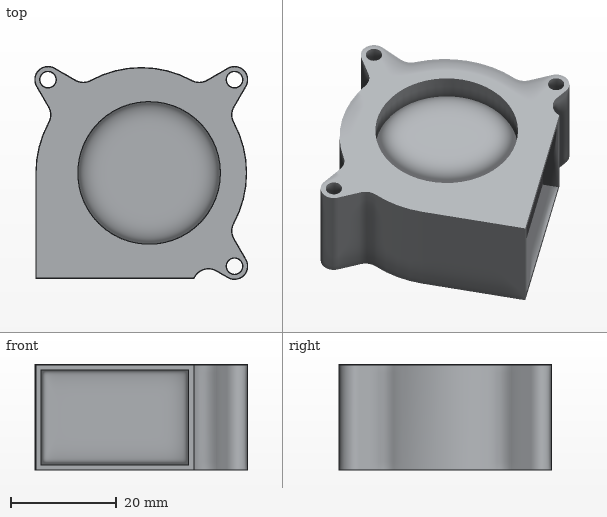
import cadquery as cq
import math

overall_width = 40.35
height = 20.0
casing_radius = 19.97

lug_radius = 2.5
lug_hole_diameter = 3.05
lug_offset = overall_width / 2 - lug_radius
lug_flank_angle = math.radians(30)
lug_fillet_radius = 3.0

outlet_end_x = 10.0
outlet_wall = 1.0
outlet_depth = 3.0
outlet_relief_radius = lug_fillet_radius

inlet_radius = 13.5
inlet_center_x = 1.5
inlet_depth = 5.0

flank_along = (math.cos(lug_flank_angle), math.sin(lug_flank_angle))
flank_normal = (-math.sin(lug_flank_angle), math.cos(lug_flank_angle))
lug_center = (lug_offset, lug_offset)


def dot(a, b):
    return a[0] * b[0] + a[1] * b[1]


def toward(start, direction, distance):
    """Point at a distance from start along a unit direction."""
    return (start[0] + direction[0] * distance, start[1] + direction[1] * distance)


def arc_middle(center, radius, start, end):
    """Middle of the shorter arc between two points of a circle."""
    bisector = (start[0] + end[0] - 2 * center[0], start[1] + end[1] - 2 * center[1])
    return toward(center, bisector, radius / math.hypot(*bisector))


def swap(point):
    """Mirror a point across the diagonal X = Y."""
    return (point[1], point[0])


def flip_x(point):
    return (-point[0], point[1])


def flip_y(point):
    return (point[0], -point[1])


def keep(point):
    return point


lug_tangent = toward(lug_center, flank_normal, lug_radius)
fillet_offset = dot(lug_center, flank_normal) + lug_radius + lug_fillet_radius
fillet_distance = casing_radius + lug_fillet_radius
fillet_along = math.sqrt(fillet_distance**2 - fillet_offset**2)
fillet_center = toward(toward((0, 0), flank_normal, fillet_offset), flank_along, fillet_along)
fillet_flank_end = toward(fillet_center, flank_normal, -lug_fillet_radius)
fillet_casing_end = toward((0, 0), fillet_center, casing_radius / fillet_distance)
fillet_middle = arc_middle(fillet_center, lug_fillet_radius, fillet_flank_end, fillet_casing_end)
lug_tip = toward(lug_center, (math.sqrt(0.5), math.sqrt(0.5)), lug_radius)

outlet_corner = (outlet_end_x, casing_radius)
relief_offset = dot(lug_center, flank_normal) + lug_radius + outlet_relief_radius
relief_rise = relief_offset - dot(outlet_corner, flank_normal)
relief_along = dot(outlet_corner, flank_along) + math.sqrt(outlet_relief_radius**2 - relief_rise**2)
relief_center = toward(toward((0, 0), flank_normal, relief_offset), flank_along, relief_along)
relief_flank_end = toward(relief_center, flank_normal, -outlet_relief_radius)
relief_middle = arc_middle(relief_center, outlet_relief_radius, outlet_corner, relief_flank_end)


def flank_outward(outline, place):
    """Run from the casing, round the fillet and up the flank to the lug end."""
    outline = outline.threePointArc(place(fillet_middle), place(fillet_flank_end))
    return outline.lineTo(*place(lug_tangent))


def flank_inward(outline, place):
    """Run from the lug end, down the flank and round the fillet to the casing."""
    outline = outline.lineTo(*place(fillet_flank_end))
    return outline.threePointArc(place(fillet_middle), place(fillet_casing_end))


def lug_end(outline, place, end):
    return outline.threePointArc(place(lug_tip), end)


def make_body():
    outline = cq.Workplane("XY").moveTo(*flip_y(outlet_corner))
    outline = outline.threePointArc(flip_y(relief_middle), flip_y(relief_flank_end))
    outline = outline.lineTo(*flip_y(lug_tangent))
    outline = lug_end(outline, flip_y, flip_y(swap(lug_tangent)))
    outline = flank_inward(outline, lambda p: flip_y(swap(p)))
    outline = outline.threePointArc((casing_radius, 0), swap(fillet_casing_end))
    outline = flank_outward(outline, swap)
    outline = lug_end(outline, keep, lug_tangent)
    outline = flank_inward(outline, keep)
    outline = outline.threePointArc((0, casing_radius), flip_x(fillet_casing_end))
    outline = flank_outward(outline, flip_x)
    outline = lug_end(outline, flip_x, flip_x(swap(lug_tangent)))
    outline = flank_inward(outline, lambda p: flip_x(swap(p)))
    left_start = flip_x(swap(fillet_casing_end))
    left_end = (-casing_radius, 0)
    outline = outline.threePointArc(arc_middle((0, 0), casing_radius, left_start, left_end), left_end)
    outline = outline.lineTo(-casing_radius, -casing_radius)
    return outline.close().extrude(height)


def make_lug_holes():
    centers = [lug_center, flip_x(lug_center), flip_y(lug_center)]
    return cq.Workplane("XY").pushPoints(centers).circle(lug_hole_diameter / 2).extrude(height)


def make_inlet():
    floor = cq.Workplane("XY").workplane(offset=height - inlet_depth)
    return floor.center(inlet_center_x, 0).circle(inlet_radius).extrude(inlet_depth)


def make_outlet():
    width = outlet_end_x + casing_radius - 2 * outlet_wall
    opening_height = height - 2 * outlet_wall
    corner = (outlet_wall - casing_radius, -casing_radius, outlet_wall)
    pocket = cq.Workplane("XY").box(width, outlet_depth, opening_height, centered=False)
    return pocket.translate(corner)


result = make_body().cut(make_lug_holes()).cut(make_inlet()).cut(make_outlet())